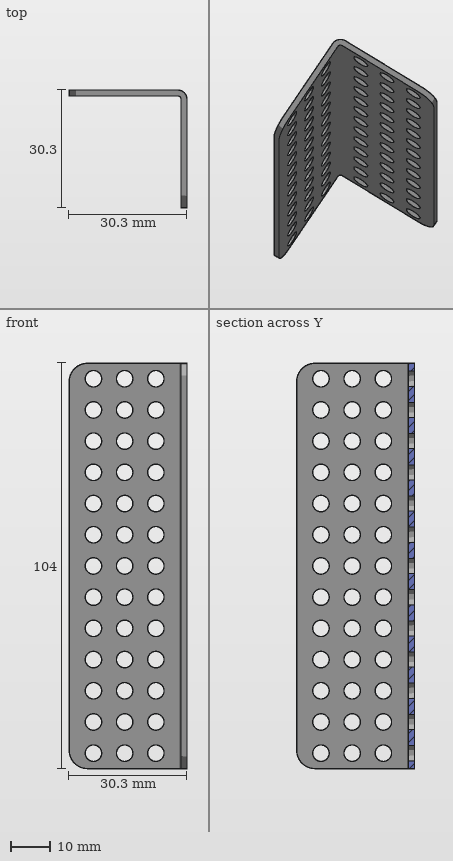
import cadquery as cq

height = 104.0
leg = 30.3
thickness = 1.6
bend_inner_radius = 0.8
bend_outer_radius = bend_inner_radius + thickness
corner_radius = 4.8

rows = 13
columns = 3
pitch = height / rows
hole_diameter = 4.2
first_column = leg - columns * pitch


def angle_profile():
    """L-shaped bar with its bend at the +X, +Y edge and its base at Z = 0."""
    outer = cq.Workplane("XY").rect(leg, leg, centered=False).extrude(height)
    outer = outer.edges("|Z and >X and >Y").fillet(bend_outer_radius)
    inside = leg - thickness
    inner = cq.Workplane("XY").rect(inside, inside, centered=False).extrude(height)
    inner = inner.edges("|Z and >X and >Y").fillet(bend_inner_radius)
    return outer.cut(inner)


def hole_centres():
    """Centres as (distance from the free edge, height)."""
    return [
        (first_column + column * pitch, (row + 0.5) * pitch)
        for column in range(columns)
        for row in range(rows)
    ]


def hole_grid(plane):
    """Hole circles for one leg, laid out on the plane parallel to that leg."""
    return cq.Workplane(plane).pushPoints(hole_centres()).circle(hole_diameter / 2)


bracket = angle_profile()

bracket = bracket.edges("<X and |Y").fillet(corner_radius)
bracket = bracket.edges("<Y and |X").fillet(corner_radius)

bracket = bracket.cut(hole_grid("XZ").extrude(-leg))
bracket = bracket.cut(hole_grid("YZ").extrude(leg))

result = bracket